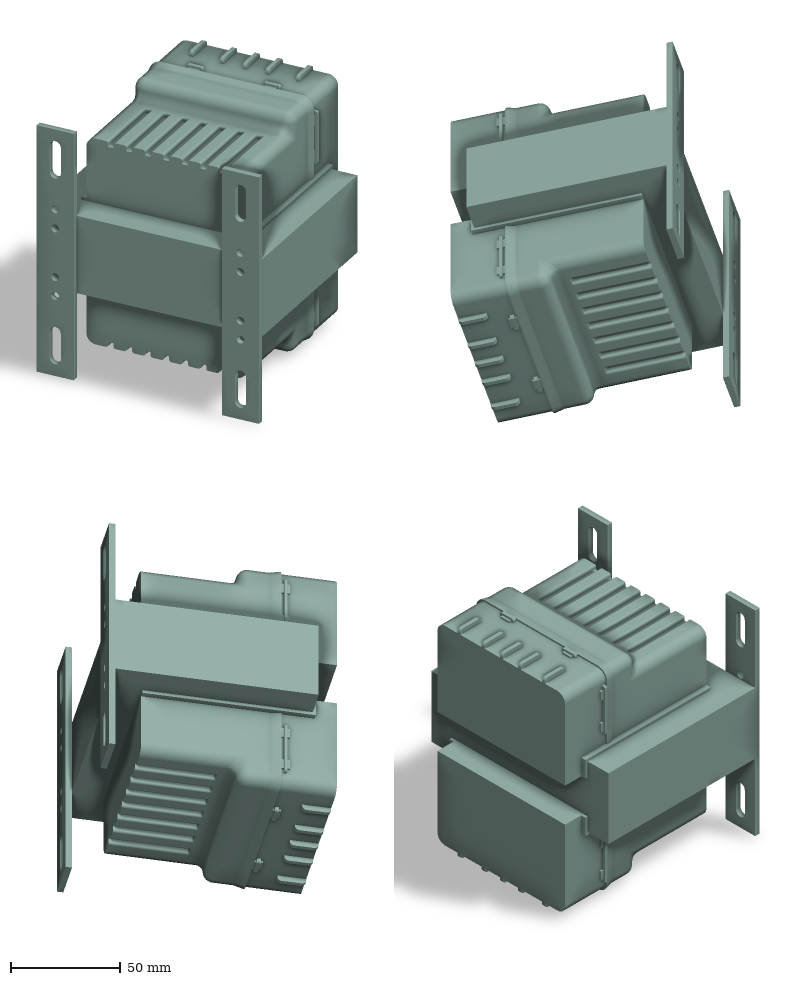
import cadquery as cq
import math


bar_width = 19.1
bar_length = 126.6
bar_thickness = 3.0
slot_width = 5.7
slot_length = 19.1
slot_height = 47.7
hole_diameter = 4.0
hole_heights = (12.5, 22.3)

core_width = 114.3
core_depth = 95.0
core_height = 39.7
core_top = core_height / 2
core_back = bar_thickness + core_depth

cover_width = 82.4
cover_front = 18.4
cover_back = 110.0
seam_y = 83.8
cover_top = 61.6
step_drop = 8.8
step_top = cover_top - step_drop
step_wall_y = 64.0
step_draft_angle = 4.0
edge_radius = 5.0
step_foot_radius = 4.3
lip_bottom = 11.0

flange_width = 87.7
flange_thickness = 1.5
flange_back = core_back + flange_thickness
flange_top = core_top + flange_thickness

flare_offset = 1.0
flare_length = 4.5
rim_length = 0.6

groove_count = 7
groove_pitch = 9.5
groove_width = 3.0
groove_depth = 2.7
groove_lip_radius = 1.0
groove_floor_radius = 0.5
groove_back = 55.7

rib_positions = (-27.3, -11.7, 0, 11.7, 27.3)
rib_width = 1.9
rib_length = 13.5
rib_height = 2.8
rib_corner_radius = 2.0

latch_height = 2.2
latch_chamfer = 0.6
latch_y = 85.6
pad_height = 1.0
pad_back = 87.8
top_latch_x = 19.9
top_latch_length = 8.4
top_latch_thickness = 1.9
top_pad_length = 5.4
side_latch_bottom = 28.2
side_latch_top = 55.2
side_latch_thickness = 1.4
side_pad_length = 5.0
side_pad_centers = (32.5, 50.4)


def block(x_min, x_max, y_min, y_max, z_min, z_max):
    """Box between the given limits."""
    size = (x_max - x_min, y_max - y_min, z_max - z_min)
    return cq.Workplane("XY").box(*size, centered=False).translate((x_min, y_min, z_min))


def centered_block(width, y_min, y_max, z_min, z_max):
    """Box of the given width, centred on X = 0."""
    return block(-width / 2, width / 2, y_min, y_max, z_min, z_max)


def make_core():
    """Solid block standing against the backs of the mounting bars."""
    return centered_block(core_width, bar_thickness, core_back, -core_top, core_top)


def make_mounting_bar(side):
    """Bar with two end slots and four round holes; side is -1 (left) or 1 (right)."""
    center_x = side * (core_width - bar_width) / 2
    bar = block(-bar_width / 2, bar_width / 2, 0, bar_thickness, -bar_length / 2, bar_length / 2)
    slot_points = [(0, sign * slot_height) for sign in (-1, 1)]
    hole_points = [(0, sign * height) for sign in (-1, 1) for height in hole_heights]
    cutters = (
        cq.Workplane("XZ")
        .pushPoints(slot_points)
        .slot2D(slot_length, slot_width, 90)
        .extrude(-bar_thickness)
        .pushPoints(hole_points)
        .circle(hole_diameter / 2)
        .extrude(-bar_thickness)
    )
    return bar.cut(cutters).translate((center_x, 0, 0))


def cover_section(y, bottom, offset=0.0):
    """Face across the cover at depth y: round upper corners, grown outward by offset."""
    half_width = cover_width / 2 + offset
    top = cover_top + offset
    radius = edge_radius + offset
    diagonal = radius * (1 - math.sqrt(0.5))
    return (
        cq.Workplane("XZ", origin=(0, y, 0))
        .moveTo(-half_width, bottom)
        .lineTo(-half_width, top - radius)
        .threePointArc((-half_width + diagonal, top - diagonal), (-half_width + radius, top))
        .lineTo(half_width - radius, top)
        .threePointArc((half_width - diagonal, top - diagonal), (half_width, top - radius))
        .lineTo(half_width, bottom)
        .close()
    )


def make_flange(y_min, y_max):
    """Part of the flange between two depths: a plate on the core, turned down behind it."""
    plate = centered_block(flange_width, cover_front, flange_back, core_top, flange_top)
    back_lip = centered_block(flange_width, core_back, flange_back, lip_bottom, flange_top)
    span = centered_block(flange_width, y_min, y_max, lip_bottom, flange_top)
    return plate.union(back_lip).intersect(span)


def make_stepped_body():
    """Front cover body: a tall block whose drafted front wall blends into a lower block."""
    wall_run = (cover_top - core_top) * math.tan(math.radians(step_draft_angle))
    tall_block = (
        cq.Workplane("YZ", origin=(-cover_width / 2, 0, 0))
        .moveTo(seam_y, core_top)
        .lineTo(seam_y, cover_top)
        .lineTo(step_wall_y, cover_top)
        .lineTo(step_wall_y - wall_run, core_top)
        .close()
        .extrude(cover_width)
    )
    rounded_edges = "(>Z or (not (|X or |Y or |Z))) and (not (>Y and |X))"
    tall_block = tall_block.edges(rounded_edges).fillet(edge_radius)

    low_block = centered_block(cover_width, cover_front, seam_y, core_top, step_top)
    low_block = low_block.edges("|Y and >Z").fillet(edge_radius)

    body = tall_block.union(low_block)
    step_edge = cq.selectors.NearestToPointSelector((0, step_wall_y, step_top))
    return body.edges(step_edge).fillet(step_foot_radius)


def make_flare():
    """Rim at the seam that widens from the front cover's body, then runs straight."""
    peak_y = seam_y - rim_length
    narrow = cover_section(peak_y - flare_length, core_top).wires().val()
    wide = cover_section(peak_y, core_top, flare_offset).wires().val()
    taper = cq.Workplane(cq.Solid.makeLoft([narrow, wide], True))
    rim = cover_section(peak_y, core_top, flare_offset).extrude(-rim_length)
    return taper.union(rim)


def make_groove_cutter():
    """One groove at X = 0 with a rounded floor and rounded rear corners."""
    floor = step_top - groove_depth
    channel = centered_block(groove_width, cover_front, groove_back, floor, step_top)
    channel = channel.edges("|Z and >Y").fillet(groove_floor_radius)
    channel = channel.faces("<Z").edges("not <Y").fillet(groove_floor_radius)
    return channel


def make_front_cover():
    """Front half of a cover, with round-lipped grooves in its lower step."""
    cover = make_stepped_body().union(make_flare()).union(make_flange(cover_front, seam_y))
    cutter = make_groove_cutter()
    for index in range(groove_count):
        offset = (index - (groove_count - 1) / 2) * groove_pitch
        cover = cover.cut(cutter.translate((offset, 0, 0)))

    margin = groove_floor_radius
    half_span = groove_count * groove_pitch / 2
    groove_mouths = cq.selectors.BoxSelector(
        (-half_span, cover_front + margin, step_top - margin),
        (half_span, groove_back + margin, step_top + margin),
    )
    return cover.edges(groove_mouths).fillet(groove_lip_radius)


def make_rib(x):
    """Rounded rib on top of the rear cover, flush with its back."""
    rib = block(
        x - rib_width / 2, x + rib_width / 2,
        cover_back - rib_length, cover_back,
        cover_top, cover_top + rib_height,
    )
    return rib.edges("|X and >Z").fillet(rib_corner_radius)


def make_latch(length, thickness, pad_length, pad_offsets):
    """Latch lying along X on the plane Z = 0: a chamfered bar across one or more pads."""
    latch = centered_block(length, latch_y - thickness / 2, latch_y + thickness / 2, 0, latch_height)
    latch = latch.edges("|Y and >Z").chamfer(latch_chamfer)
    for offset in pad_offsets:
        pad = centered_block(pad_length, seam_y, pad_back, 0, pad_height)
        latch = latch.union(pad.translate((offset, 0, 0)))
    return latch


def add_latches(cover):
    """Two latches on top of the rear cover and one long latch on each side."""
    top_latch = make_latch(top_latch_length, top_latch_thickness, top_pad_length, [0])
    for x in (-top_latch_x, top_latch_x):
        cover = cover.union(top_latch.translate((x, 0, cover_top)))

    center_z = (side_latch_bottom + side_latch_top) / 2
    pad_offsets = [center_z - pad_z for pad_z in side_pad_centers]
    side_latch_length = side_latch_top - side_latch_bottom
    side_latch = make_latch(side_latch_length, side_latch_thickness, side_pad_length, pad_offsets)
    right_latch = side_latch.rotate((0, 0, 0), (0, 1, 0), 90).translate((cover_width / 2, 0, center_z))
    return cover.union(right_latch).union(right_latch.mirror("YZ"))


def make_rear_cover():
    """Rear half of a cover: it reaches down behind the core and carries ribs and latches."""
    core_clearance = centered_block(core_width, seam_y, core_back, -core_top, core_top)
    cover = cover_section(seam_y, lip_bottom).extrude(seam_y - cover_back).cut(core_clearance)
    cover = cover.union(make_flange(seam_y, flange_back))
    for x in rib_positions:
        cover = cover.union(make_rib(x))
    return add_latches(cover)


core = make_core()
mounting_bars = [make_mounting_bar(side) for side in (-1, 1)]
upper_covers = [make_front_cover(), make_rear_cover()]
lower_covers = [cover.mirror("XY") for cover in upper_covers]

bodies = [core, *mounting_bars, *upper_covers, *lower_covers]
result = cq.Compound.makeCompound([body.solids().val() for body in bodies])